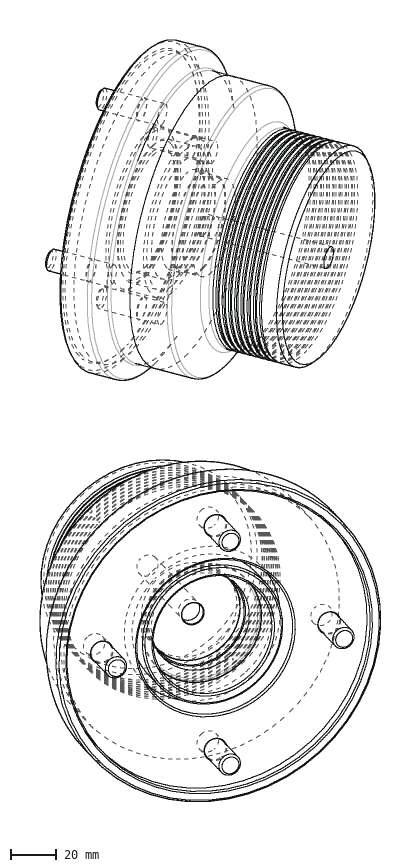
import cadquery as cq
import math


flange_radius = 75.0
body_radius = 66.0
flange_cone_end = 20.0
flange_end = 30.0
rim_chamfer = 1.0
flange_edge_fillet = 2.0
flange_root_fillet = 1.6
cone_slope = math.tan(math.radians(60))

recess_radius = 70.0
recess_floor = 5.0
recess_chamfer = 0.8
sleeve_pocket_radius = 36.0
sleeve_pocket_floor = 22.5
sleeve_pocket_chamfer = 0.9
counterbore_radius = 27.3
counterbore_floor = 25.0
counterbore_fillet = 0.8
flange_bore_radius = 22.6

sleeve_outer_radius = 32.4
sleeve_inner_radius = 27.5
sleeve_front = 8.0
sleeve_chamfer = 0.9

housing_cone_start = 49.0
housing_end = 95.0
neck_radius = 50.0
housing_edge_fillet = 2.0
neck_root_fillet = 3.8
neck_end_chamfer = 2.0

neck_ring_count = 8
neck_ring_pitch = 3.0
first_neck_ring = 63.6
neck_ring_width = 2.4
neck_ring_depth = 0.6

cavity_radius = 22.0
disc_front = 35.0
disc_thickness = 5.0
disc_chamfer = 0.3
through_hole_radius = 5.0

pin_count = 4
pin_radius = 5.0
pin_circle_radius = 52.5
pin_protrusion = 15.0
pin_seat_depth = 10.0
pin_chamfer = 1.0
pin_hole_chamfer = 0.3

cavity_floor = disc_front + disc_thickness
pin_hole_floor = recess_floor + pin_seat_depth
edge_tolerance = 0.02


def revolved(outline):
    """Solid of revolution about the X axis from (axial, radial) points."""
    return cq.Workplane("XZ").polyline(outline).close().revolve(360, (0, 0, 0), (1, 0, 0))


def cylinder(radius, start, end):
    """Cylinder about the X axis between two axial positions."""
    return revolved([(start, 0), (start, radius), (end, radius), (end, 0)])


def chamfered_hole(radius, start, end, chamfer):
    """Cutter for a hole along the X axis with a chamfered mouth at its start."""
    return revolved([
        (start, 0),
        (start, radius + chamfer),
        (start + chamfer, radius),
        (end, radius),
        (end, 0),
    ])


def circle_edge(position, radius):
    """Selector for the circular edge of this radius at this axial position."""
    outside = radius + edge_tolerance
    inside = radius - edge_tolerance
    front = position - edge_tolerance
    back = position + edge_tolerance
    within = cq.selectors.BoxSelector((front, -outside, -outside), (back, outside, outside), boundingbox=True)
    smaller = cq.selectors.BoxSelector((front, -inside, -inside), (back, inside, inside), boundingbox=True)
    return within - smaller


def at_each_pin(shape):
    """Copies of an on-axis shape moved to every pin position."""
    copies = []
    for index in range(pin_count):
        angle = 2 * math.pi * index / pin_count
        offset = (0, pin_circle_radius * math.cos(angle), pin_circle_radius * math.sin(angle))
        copies.append(shape.translate(offset))
    return copies


def make_flange_blank():
    """Flange disc with a cone down to the body diameter."""
    cone_start = flange_cone_end - (flange_radius - body_radius) / cone_slope
    blank = revolved([
        (0, 0),
        (0, flange_radius),
        (cone_start, flange_radius),
        (flange_cone_end, body_radius),
        (flange_end, body_radius),
        (flange_end, 0),
    ])
    blank = blank.edges(circle_edge(0, flange_radius)).chamfer(rim_chamfer)
    blank = blank.edges(circle_edge(cone_start, flange_radius)).fillet(flange_edge_fillet)
    return blank.edges(circle_edge(flange_cone_end, body_radius)).fillet(flange_root_fillet)


def make_flange():
    """Flange with its front recess, stepped bore and pin holes."""
    recess = chamfered_hole(recess_radius, 0, recess_floor, recess_chamfer)
    pocket = chamfered_hole(sleeve_pocket_radius, recess_floor, sleeve_pocket_floor, sleeve_pocket_chamfer)
    counterbore = cylinder(counterbore_radius, sleeve_pocket_floor, counterbore_floor)
    counterbore = counterbore.faces(">X").edges().fillet(counterbore_fillet)
    bore = cylinder(flange_bore_radius, counterbore_floor, flange_end)
    pin_hole = chamfered_hole(pin_radius, recess_floor, pin_hole_floor, pin_hole_chamfer)

    flange = make_flange_blank()
    for cutter in [recess, pocket, counterbore, bore, *at_each_pin(pin_hole)]:
        flange = flange.cut(cutter)
    return flange


def make_sleeve():
    """Ring with both front edges chamfered."""
    sleeve = cylinder(sleeve_outer_radius, sleeve_front, sleeve_pocket_floor)
    sleeve = sleeve.cut(cylinder(sleeve_inner_radius, sleeve_front, sleeve_pocket_floor))
    return sleeve.faces("<X").edges().chamfer(sleeve_chamfer)


def make_housing_blank():
    """Body section with a cone down to the neck."""
    cone_end = housing_cone_start + (body_radius - neck_radius) / cone_slope
    blank = revolved([
        (flange_end, 0),
        (flange_end, body_radius),
        (housing_cone_start, body_radius),
        (cone_end, neck_radius),
        (housing_end, neck_radius),
        (housing_end, 0),
    ])
    blank = blank.edges(circle_edge(housing_cone_start, body_radius)).fillet(housing_edge_fillet)
    blank = blank.edges(circle_edge(cone_end, neck_radius)).fillet(neck_root_fillet)
    return blank.faces(">X").edges().chamfer(neck_end_chamfer)


def make_neck_ring(center):
    """Cutter for one V-shaped ring around the neck."""
    return revolved([
        (center - neck_ring_width / 2, neck_radius),
        (center, neck_radius - neck_ring_depth),
        (center + neck_ring_width / 2, neck_radius),
    ])


def make_housing():
    """Rear housing with its neck rings, cavity and through hole."""
    housing = make_housing_blank()
    for index in range(neck_ring_count):
        housing = housing.cut(make_neck_ring(first_neck_ring + index * neck_ring_pitch))
    housing = housing.cut(cylinder(cavity_radius, flange_end, cavity_floor))
    return housing.cut(cylinder(through_hole_radius, cavity_floor, housing_end))


def make_disc():
    """Disc with a center hole and both front edges chamfered."""
    disc = cylinder(cavity_radius, disc_front, cavity_floor)
    disc = disc.cut(cylinder(through_hole_radius, disc_front, cavity_floor))
    return disc.faces("<X").edges().chamfer(disc_chamfer)


def make_pin():
    """Pin on the X axis with a chamfered tip."""
    return cylinder(pin_radius, -pin_protrusion, pin_hole_floor).faces("<X").edges().chamfer(pin_chamfer)


flange = make_flange()
sleeve = make_sleeve()
housing = make_housing()
disc = make_disc()
pins = at_each_pin(make_pin())

result = cq.Compound.makeCompound([
    flange.val(),
    sleeve.val(),
    housing.val(),
    disc.val(),
    *[pin.val() for pin in pins],
])